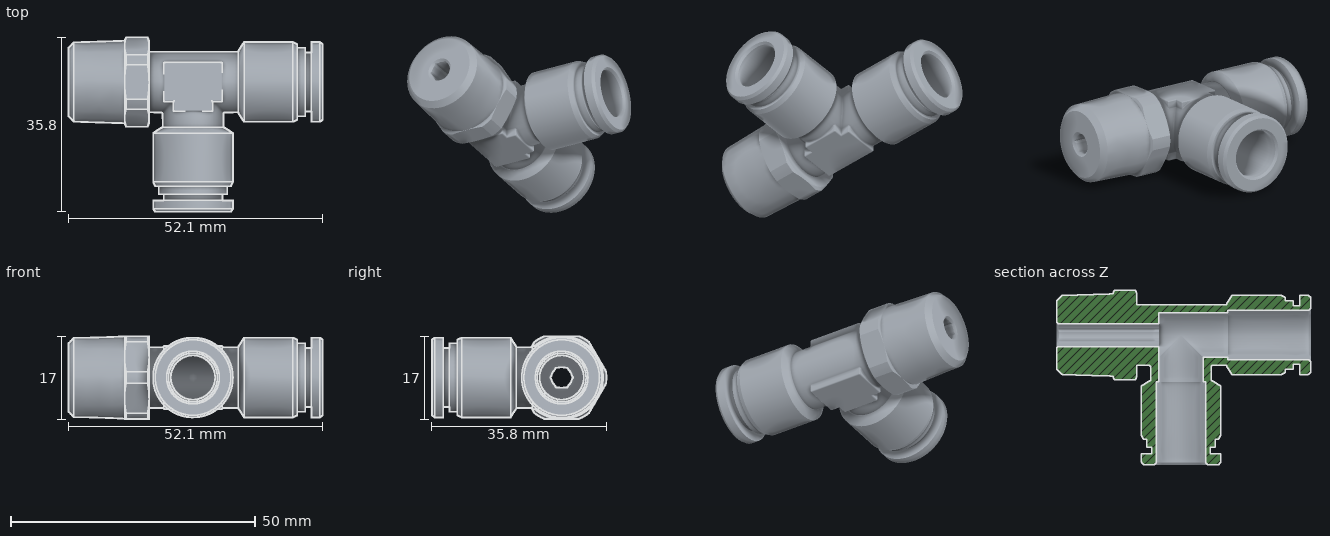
import cadquery as cq
import math

total_length = 52.1
reach = 26.6
tee_x = total_length - reach

thread_face_radius = 7.0
thread_start_radius = 8.15
thread_chamfer_length = 1.1
thread_taper = 1 / 32
thread_length = 11.5

hex_across_flats = 17.0
hex_corner_diameter = 18.4
hex_end_x = 16.5
hex_chamfer_length = 0.3

arm_radius = 6.25

collar_radius = 8.2
collar_rim_radius = 7.75
collar_rim_length = 0.6
collar_length = 2.35
collar_neck_radius = 6.05
collar_neck_end = 3.6
sleeve_radius = 7.03
sleeve_end = 5.2
housing_radius = 8.2
housing_front_radius = 7.75
housing_front_chamfer = 0.95
housing_back_start = 16.15
housing_end = 17.3
housing_back_radius = 6.4

socket_mouth_radius = 5.4
socket_radius = 5.0
socket_mouth_depth = 0.5
socket_depth = 17.0
bore_radius = 4.53
key_across_flats = 4.0
key_bore_radius = 2.1
key_mouth_radius = 2.6

pad_half_width = 6.0
pad_half_depth = 4.0
pad_stem_half_width = pad_half_depth
pad_top_z = 6.5
pad_edge_fillet = 0.25
pad_corner_fillet = 0.2
root_fillet = 0.3


def turned(profile):
    """Solid turned about X from (x, radius) points, closed along the axis."""
    points = [(profile[0][0], 0), *profile, (profile[-1][0], 0)]
    return cq.Workplane("XY").polyline(points).close().revolve(360, (0, 0, 0), (1, 0, 0))


def rod(start, end, radius):
    """Cylinder along X."""
    return turned([(start, radius), (end, radius)])


def hexagonal_prism(start, end, across_flats):
    """Hexagonal prism along X with two flats facing +Z and -Z."""
    corner_diameter = across_flats / math.cos(math.pi / 6)
    return cq.Workplane("YZ", origin=(start, 0, 0)).polygon(6, corner_diameter).extrude(end - start)


def threaded_end():
    thread_end_radius = thread_start_radius + thread_taper * (thread_length - thread_chamfer_length)
    return turned([
        (0, thread_face_radius),
        (thread_chamfer_length, thread_start_radius),
        (thread_length, thread_end_radius),
    ])


def nut():
    corner_radius = hex_corner_diameter / 2
    face_radius = hex_across_flats / 2
    envelope = turned([
        (thread_length, face_radius),
        (thread_length + hex_chamfer_length, corner_radius),
        (hex_end_x - hex_chamfer_length, corner_radius),
        (hex_end_x, face_radius),
    ])
    return hexagonal_prism(thread_length, hex_end_x, hex_across_flats).intersect(envelope)


def port_outside():
    """Push-in tube port facing +X, with its distances taken from the crossing of the axes."""
    return turned([
        (reach - housing_end, housing_back_radius),
        (reach - housing_back_start, housing_radius),
        (reach - sleeve_end - housing_front_chamfer, housing_radius),
        (reach - sleeve_end, housing_front_radius),
        (reach - sleeve_end, sleeve_radius),
        (reach - collar_neck_end, sleeve_radius),
        (reach - collar_neck_end, collar_neck_radius),
        (reach - collar_length, collar_neck_radius),
        (reach - collar_length, collar_radius),
        (reach - collar_rim_length, collar_radius),
        (reach, collar_rim_radius),
    ])


def port_passage():
    """Tube socket with a flared mouth, and the narrower bore behind it, along +X."""
    return turned([
        (0, bore_radius),
        (reach - socket_depth, bore_radius),
        (reach - socket_depth, socket_radius),
        (reach - socket_mouth_depth, socket_radius),
        (reach, socket_mouth_radius),
    ])


def on_run(shape):
    return shape.translate((tee_x, 0, 0))


def on_branch(shape):
    return shape.rotate((0, 0, 0), (0, 0, 1), -90).translate((tee_x, 0, 0))


def label_pads():
    """T-shaped block standing proud of the arms, above and below."""
    outline = [
        (-pad_half_width, pad_half_depth),
        (pad_half_width, pad_half_depth),
        (pad_half_width, -pad_half_depth),
        (pad_stem_half_width, -pad_half_depth),
        (pad_stem_half_width, -pad_half_width),
        (-pad_stem_half_width, -pad_half_width),
        (-pad_stem_half_width, -pad_half_depth),
        (-pad_half_width, -pad_half_depth),
    ]
    block = (
        cq.Workplane("XY", origin=(tee_x, 0, -pad_top_z))
        .polyline(outline).close().extrude(2 * pad_top_z)
    )
    block = block.edges("|Z and (<X or >X or <Y)").fillet(pad_corner_fillet)
    return block.faces("|Z").edges().fillet(pad_edge_fillet)


def key_passage():
    """Round bore with a hexagonal key socket, from the threaded face to the run bore."""
    mouth_depth = key_mouth_radius - key_bore_radius
    bore = turned([
        (0, key_mouth_radius),
        (mouth_depth, key_bore_radius),
        (tee_x, key_bore_radius),
    ])
    return bore.union(hexagonal_prism(0, tee_x, key_across_flats))


def crossing_bore():
    """End of the run bore beyond the branch bore."""
    return rod(tee_x - bore_radius, tee_x, bore_radius)


def tee_body():
    """The three arms and the label pads, with small fillets where they meet."""
    run = rod(thread_length, total_length - housing_end, arm_radius)
    branch = on_branch(rod(0, reach - housing_end, arm_radius))
    body = run.union(branch).union(label_pads())
    pad_zone_reach = pad_half_width + root_fillet
    pad_zone = cq.selectors.BoxSelector(
        (tee_x - pad_zone_reach, -pad_zone_reach, -pad_top_z + 2 * pad_edge_fillet),
        (tee_x + pad_zone_reach, pad_half_depth + root_fillet, pad_top_z - 2 * pad_edge_fillet),
    )
    return body.edges(pad_zone).edges("not |Z").fillet(root_fillet)


outside = (
    threaded_end()
    .union(nut())
    .union(tee_body())
    .union(on_run(port_outside()))
    .union(on_branch(port_outside()))
)

result = (
    outside
    .cut(crossing_bore())
    .cut(on_run(port_passage()))
    .cut(on_branch(port_passage()))
    .cut(key_passage())
)